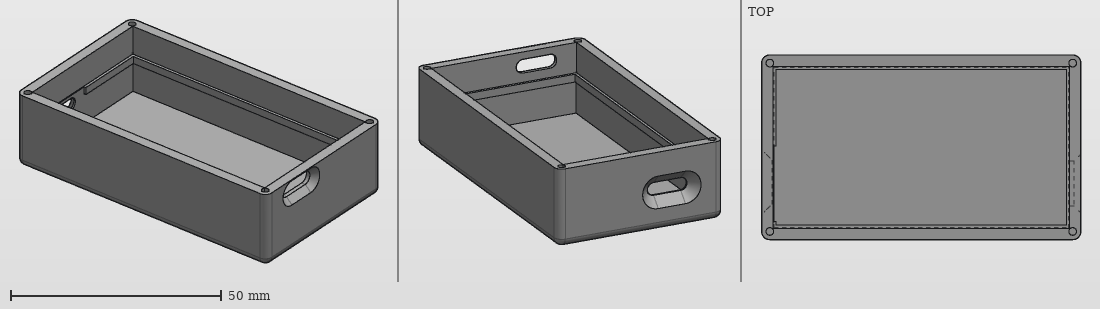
import cadquery as cq

LENGTH = 76.0
WIDTH = 44.0
HEIGHT = 19.9
EDGE_RADIUS = 2.0

FLOOR_THICKNESS = 2.0
LOWER_WALL = 3.0
UPPER_WALL = 2.7
RIB_WALL = 3.5
RIB_BOTTOM = 10.2
RIB_TOP = 12.15

SCREW_DIAMETER = 1.8
SCREW_DEPTH = 7.6

PLUG_Y = -8.3
FAR_SLOT_Y = -8.7
SLOT_STRAIGHT = 7.2
PLUG_Z = 9.65
PLUG_HEIGHT = 3.3
PLUG_FLARE = 2.5
FAR_SLOT_Z = 16.3
FAR_SLOT_FLARE = 1.7
FAR_SLOT_HEIGHT = 3.5

GAP_Y = -8.7
GAP_WIDTH = 18.0


def chamber(wall, bottom, top):
    """Rectangular block that leaves the given wall thickness all round."""
    return (
        cq.Workplane("XY", origin=(0, 0, bottom))
        .rect(LENGTH - 2 * wall, WIDTH - 2 * wall)
        .extrude(top - bottom)
    )


def slot_profile(x, y, z, height):
    """Slot outline facing +X, with a fixed straight length along Y."""
    return cq.Workplane("YZ", origin=(x, y, z)).slot2D(SLOT_STRAIGHT + height, height)


def make_body():
    body = cq.Workplane("XY").box(LENGTH, WIDTH, HEIGHT, centered=(True, True, False))
    return body.edges("|Z").fillet(EDGE_RADIUS).faces("<Z").edges().fillet(EDGE_RADIUS)


def make_interior():
    lower = chamber(LOWER_WALL, FLOOR_THICKNESS, RIB_BOTTOM)
    middle = chamber(RIB_WALL, RIB_BOTTOM, RIB_TOP)
    upper = chamber(UPPER_WALL, RIB_TOP, HEIGHT)
    return lower.union(middle).union(upper)


def make_rib_gap():
    """Block that trims the rib flush with the lower wall at the -X end."""
    return cq.Workplane("XY").box(
        RIB_WALL - LOWER_WALL, GAP_WIDTH, RIB_TOP - RIB_BOTTOM, centered=(False, True, False)
    ).translate((LOWER_WALL - LENGTH / 2, GAP_Y, RIB_BOTTOM))


def make_end_opening(side, y, z, height, flare):
    """Slot through the end wall at side -1 or +1, with a 45 degree flare on the outside."""
    outside = side * LENGTH / 2
    straight = slot_profile(outside, y, z, height).extrude(-side * RIB_WALL)
    funnel = slot_profile(outside, y, z, height + 2 * flare).extrude(-side * flare, taper=45)
    return straight.union(funnel)


def make_screw_holes():
    return (
        cq.Workplane("XY", origin=(0, 0, HEIGHT - SCREW_DEPTH))
        .rect(LENGTH - 2 * EDGE_RADIUS, WIDTH - 2 * EDGE_RADIUS, forConstruction=True)
        .vertices()
        .circle(SCREW_DIAMETER / 2)
        .extrude(SCREW_DEPTH)
    )


result = (
    make_body()
    .cut(make_interior())
    .cut(make_rib_gap())
    .cut(make_end_opening(-1, PLUG_Y, PLUG_Z, PLUG_HEIGHT, PLUG_FLARE))
    .cut(make_end_opening(1, FAR_SLOT_Y, FAR_SLOT_Z, FAR_SLOT_HEIGHT, FAR_SLOT_FLARE))
    .cut(make_screw_holes())
)